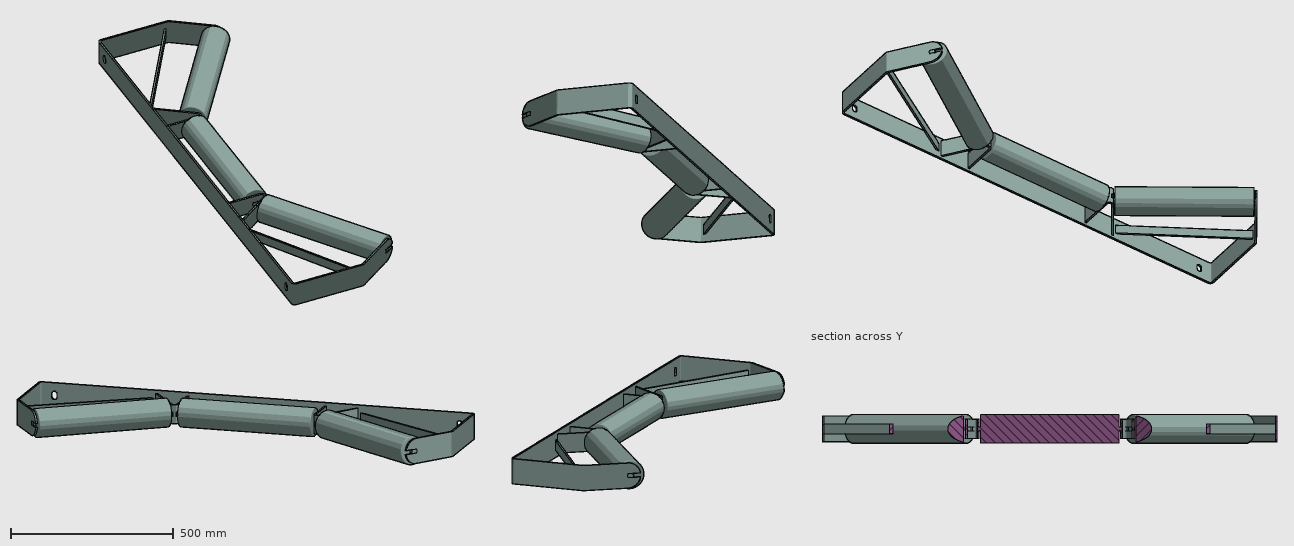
import cadquery as cq
import math

FRAME_LENGTH = 1400.0
STRIP_WIDTH = 80.0
THICKNESS = 6.0
STRIP_BEND = 12.0
BRACKET_BEND = 14.0
WALL_HEIGHT = 241.0
ARM_LENGTH = 182.0
BRACKET_WIDTH = 60.0
BRACE_WIDTH = 31.0
BRACE_TOP_Y = 231.0
BRACE_FOOT_X = 333.0

SLOT_SPACING = 1302.0
SLOT_WIDTH = 17.0
SLOT_HEIGHT = 27.0

TROUGH_ANGLE = 35.0
ROLLER_DIAMETER = 90.0
ROLLER_LENGTH = 428.0
ROLLER_FILLET = 3.0
ROLLER_GAP = 3.5
SHAFT_DIAMETER = 20.0
SHAFT_FLATS = 13.0
CENTRE_AXIS_Y = 100.0
WING_AXIS_ON_ARM = 150.0

half_length = FRAME_LENGTH / 2
tip_radius = STRIP_WIDTH / 2
end_to_strip = ROLLER_LENGTH / 2 + ROLLER_GAP
shaft_half = end_to_strip + THICKNESS
tilt = math.radians(TROUGH_ANGLE)
axis_direction = cq.Vector(math.cos(tilt), math.sin(tilt), 0)
arm_direction = cq.Vector(-math.sin(tilt), math.cos(tilt), 0)
wall_corner = cq.Vector(half_length, WALL_HEIGHT, 0)
wing_centre = wall_corner + arm_direction * WING_AXIS_ON_ARM - axis_direction * shaft_half


def mirrored(shape):
    """The left-hand copy of a right-hand shape."""
    return shape.mirror("YZ")


def on_wing(shape):
    """Move a shape built around a roller along X to the right wing roller."""
    return shape.rotate((0, 0, 0), (0, 0, 1), TROUGH_ANGLE).translate(wing_centre)


def plate(points, width):
    """Closed XY outline extruded to the given width, centred on Z = 0."""
    return cq.Workplane("XY").workplane(offset=-width / 2).polyline(points).close().extrude(width)


def round_bend(body, corner, radius):
    """Fillet the edge along Z that passes through an XY corner."""
    return body.edges(cq.selectors.NearestToPointSelector((corner[0], corner[1], 0))).fillet(radius)



def outer_strip_half():
    """Right half of the base, the end wall and the tilted arm with its rounded tip."""
    tip_centre = wall_corner + arm_direction * (ARM_LENGTH - tip_radius)
    inner_tip = tip_centre - axis_direction * THICKNESS
    base_corner = (half_length, 0)
    base_inner_corner = (half_length - THICKNESS, THICKNESS)
    arm_corner = (half_length, WALL_HEIGHT)
    arm_inner_corner = (half_length - THICKNESS, WALL_HEIGHT - THICKNESS * math.tan(tilt / 2))
    body = plate(
        [
            (0, 0),
            base_corner,
            arm_corner,
            (tip_centre.x, tip_centre.y),
            (inner_tip.x, inner_tip.y),
            arm_inner_corner,
            base_inner_corner,
            (0, THICKNESS),
        ],
        STRIP_WIDTH,
    )
    for corner in (base_corner, arm_corner):
        body = round_bend(body, corner, STRIP_BEND)
    for corner in (base_inner_corner, arm_inner_corner):
        body = round_bend(body, corner, STRIP_BEND - THICKNESS)
    tip_height = ARM_LENGTH - tip_radius - WING_AXIS_ON_ARM
    tip = cq.Workplane("YZ", origin=(end_to_strip, tip_height, 0)).circle(tip_radius).extrude(THICKNESS)
    return body.union(on_wing(tip))


def bracket():
    """Bent strip with a leg beside the centre roller and a sloping leg under the wing roller."""
    slope_face = wing_centre - axis_direction * end_to_strip

    def slope_x(y):
        return slope_face.x - (y - slope_face.y) * math.tan(tilt)

    leg_outer_x = end_to_strip
    leg_inner_x = end_to_strip + THICKNESS
    slope_thickness = THICKNESS / math.cos(tilt)
    apex = (leg_outer_x, slope_face.y + (slope_face.x - leg_outer_x) / math.tan(tilt))
    inner_apex = (leg_inner_x, apex[1] - (THICKNESS + slope_thickness) / math.tan(tilt))
    foot_x = slope_x(THICKNESS)
    body = plate(
        [
            (leg_outer_x, THICKNESS),
            apex,
            (foot_x, THICKNESS),
            (foot_x - slope_thickness, THICKNESS),
            inner_apex,
            (leg_inner_x, THICKNESS),
        ],
        BRACKET_WIDTH,
    )
    body = round_bend(body, apex, BRACKET_BEND)
    return round_bend(body, inner_apex, BRACKET_BEND - THICKNESS)


def brace():
    """Narrow diagonal strip from the end wall down to the base."""
    wall_x = half_length - THICKNESS
    run = wall_x - BRACE_FOOT_X
    rise = BRACE_TOP_Y - THICKNESS
    length = math.hypot(run, rise)
    return plate(
        [
            (BRACE_FOOT_X, THICKNESS),
            (wall_x, BRACE_TOP_Y),
            (wall_x, BRACE_TOP_Y - THICKNESS * length / run),
            (BRACE_FOOT_X + THICKNESS * length / rise, THICKNESS),
        ],
        BRACE_WIDTH,
    )


def mounting_slots():
    return (
        cq.Workplane("XZ")
        .pushPoints([(-SLOT_SPACING / 2, 0), (SLOT_SPACING / 2, 0)])
        .slot2D(SLOT_HEIGHT, SLOT_WIDTH, 90)
        .extrude(-THICKNESS)
    )


def shaft():
    """Shaft along X, flattened on both sides in Z."""
    round_bar = cq.Workplane("YZ", origin=(-shaft_half, 0, 0)).circle(SHAFT_DIAMETER / 2).extrude(2 * shaft_half)
    return round_bar.intersect(cq.Workplane("XY").box(2 * shaft_half, SHAFT_DIAMETER, SHAFT_FLATS))


def shaft_slot():
    """Slots that let a roller drop in from the open +Y side and fit its shaft at the bottom."""
    opening = cq.Workplane("XY").box(2 * shaft_half, ROLLER_DIAMETER, SHAFT_FLATS, centered=(True, False, True))
    return shaft().union(opening)


def make_frame():
    half = outer_strip_half().union(bracket()).union(brace()).cut(on_wing(shaft_slot()))
    frame = half.union(mirrored(half))
    return frame.cut(shaft_slot().translate((0, CENTRE_AXIS_Y, 0))).cut(mounting_slots())



def make_roller():
    """Roller along X with its flattened shaft."""
    drum = (
        cq.Workplane("YZ", origin=(-ROLLER_LENGTH / 2, 0, 0))
        .circle(ROLLER_DIAMETER / 2)
        .extrude(ROLLER_LENGTH)
        .edges()
        .fillet(ROLLER_FILLET)
    )
    return drum.union(shaft())


frame = make_frame()
centre_roller = make_roller().translate((0, CENTRE_AXIS_Y, 0))
right_roller = on_wing(make_roller())
rollers = [centre_roller, right_roller, mirrored(right_roller)]

result = cq.Compound.makeCompound([frame.val(), *[roller.val() for roller in rollers]])